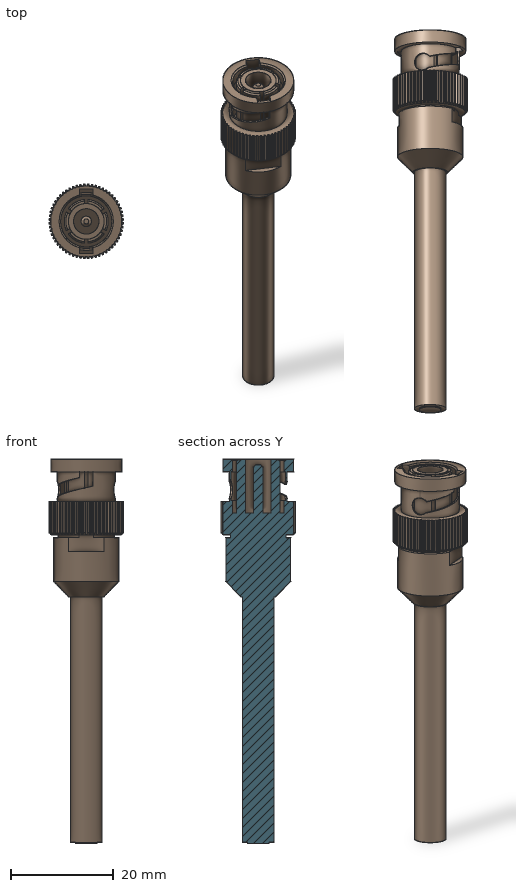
import cadquery as cq
import math

total_height = 74.7
flange_height = 2.5
knurl_top = 66.5
knurl_bottom = 60.0
body_top = 59.45
body_bottom = 50.9
cone_bottom = 47.9
stub_height = 0.2
flat_bottom = 56.75
undercut_bottom = 66.7
bore_floor = 64.2

stub_diameter = 4.25
cable_diameter = 6.2
cone_end_diameter = 6.7
body_diameter = 12.7
neck_diameter = 11.0
sleeve_diameter = 11.3
flange_diameter = 13.8
bore_diameter = 9.9
undercut_diameter = 10.5
mouth_chamfer = 0.3

ridge_count = 60
ridge_tip_diameter = 14.5
ridge_root_diameter = 13.8
grip_chamfer = 0.45
ridge_flat_share = 0.3

flat_spacing = 10.6

entry_width = 2.6
entry_radius = 6.3
ring_clearance = 0.2
track_height = 2.25
track_start = 68.3
track_rise = 1.95
latch_diameter = 3.35
latch_height = 68.7

ring_top = 74.6
insulator_top = 74.7
ring_diameter = 8.5
ring_tip_chamfer = 0.3
ring_inner_diameter = 6.95
ring_slit_count = 6
ring_slit_width = 0.75
socket_diameter = 4.9
pin_diameter = 2.0
pin_top = 73.6
pin_tip_diameter = 1.0
pin_tip_length = 0.5


def disc(diameter, bottom, top):
    """Upright cylinder on the Z axis."""
    return cq.Workplane("XY").workplane(offset=bottom).circle(diameter / 2).extrude(top - bottom)


def revolve_profile(points):
    """Solid of revolution about Z from (radius, height) points."""
    return cq.Workplane("XZ").polyline(points).close().revolve(360, (0, 0), (0, 1))


def make_cable_and_body():
    """Cable, conical strain relief, body and neck, with the two wrench flats."""
    profile = [
        (0, 0),
        (stub_diameter / 2, 0),
        (stub_diameter / 2, stub_height),
        (cable_diameter / 2, stub_height),
        (cable_diameter / 2, cone_bottom),
        (cone_end_diameter / 2, cone_bottom),
        (body_diameter / 2, body_bottom),
        (body_diameter / 2, body_top),
        (neck_diameter / 2, body_top),
        (neck_diameter / 2, knurl_bottom),
        (0, knurl_bottom),
    ]
    body = revolve_profile(profile)
    flat_height = knurl_bottom - flat_bottom
    flat_depth = (body_diameter - flat_spacing) / 2
    for side in (-1, 1):
        waste = (
            cq.Workplane("XY")
            .workplane(offset=flat_bottom)
            .center(0, side * (flat_spacing + flat_depth) / 2)
            .rect(body_diameter, flat_depth)
            .extrude(flat_height)
        )
        body = body.cut(waste)
    return body


def make_grip():
    """Grip with flat-topped ridges all round and a chamfer on its lower edge."""
    pitch = 2 * math.pi / ridge_count
    half_flat = ridge_flat_share * pitch / 2
    points = []
    for index in range(ridge_count):
        root_angle = index * pitch
        tip_angle = root_angle + pitch / 2
        for diameter, center_angle in ((ridge_root_diameter, root_angle), (ridge_tip_diameter, tip_angle)):
            for angle in (center_angle - half_flat, center_angle + half_flat):
                points.append((diameter / 2 * math.cos(angle), diameter / 2 * math.sin(angle)))
    height = knurl_top - knurl_bottom
    grip = cq.Workplane("XY").workplane(offset=knurl_bottom).polyline(points).close().extrude(height)
    envelope = disc(ridge_tip_diameter, knurl_bottom, knurl_top).faces("<Z").chamfer(grip_chamfer)
    return grip.intersect(envelope)


def make_sleeve():
    """Bayonet sleeve and its end flange, before the bore is cut."""
    sleeve = disc(sleeve_diameter, knurl_top, total_height)
    return sleeve.union(disc(flange_diameter, total_height - flange_height, total_height))


def make_bore():
    """Cutter for the bore: chamfered mouth, and an undercut behind the bayonet tracks."""
    flange_bottom = total_height - flange_height
    chamfer_bottom = total_height - mouth_chamfer
    profile = [
        (0, bore_floor),
        (bore_diameter / 2, bore_floor),
        (bore_diameter / 2, undercut_bottom),
        (undercut_diameter / 2, undercut_bottom),
        (undercut_diameter / 2, flange_bottom),
        (bore_diameter / 2, flange_bottom),
        (bore_diameter / 2, chamfer_bottom),
        (bore_diameter / 2 + mouth_chamfer, total_height),
        (0, total_height),
    ]
    return revolve_profile(profile)


def make_bayonet_track():
    """Cutters for one track: entry slot at +Y, sloping track and round latch hole at +X."""
    inner_radius = ring_diameter / 2 + ring_clearance
    cut_depth = entry_radius - inner_radius
    middle_radius = (inner_radius + entry_radius) / 2

    overrun = math.degrees(math.asin(entry_width / sleeve_diameter))
    slope = track_rise / 90
    path = cq.Wire.makeHelix(slope * 360, slope * (90 + overrun), bore_diameter / 2)
    path = path.translate(cq.Vector(0, 0, track_start))
    track = (
        cq.Workplane("XZ")
        .center(middle_radius, track_start)
        .rect(cut_depth, track_height)
        .sweep(cq.Workplane(path), isFrenet=True)
    )

    entry_bottom = track_start + track_rise
    entry = (
        cq.Workplane("XY")
        .workplane(offset=entry_bottom)
        .center(0, middle_radius)
        .rect(entry_width, cut_depth)
        .extrude(total_height - entry_bottom)
    )
    latch = (
        cq.Workplane("YZ")
        .workplane(offset=inner_radius)
        .center(0, latch_height)
        .circle(latch_diameter / 2)
        .extrude(cut_depth)
    )
    return [track, entry, latch]


def make_contact_ring():
    """Slotted contact ring around the insulator, which has an open socket."""
    ring = disc(ring_diameter, bore_floor, ring_top).faces(">Z").chamfer(ring_tip_chamfer)
    slit_height = ring_top - bore_floor
    for index in range(ring_slit_count):
        slit = (
            cq.Workplane("XY")
            .workplane(offset=bore_floor)
            .center(ring_diameter / 2, 0)
            .rect(ring_diameter, ring_slit_width)
            .extrude(slit_height)
            .rotate((0, 0, 0), (0, 0, 1), 90 + index * 360 / ring_slit_count)
        )
        ring = ring.cut(slit)
    ring = ring.union(disc(ring_inner_diameter, bore_floor, insulator_top))
    return ring.cut(disc(socket_diameter, bore_floor, insulator_top))


def make_pin():
    """Centre pin with a tapered tip."""
    pin = disc(pin_diameter, bore_floor, pin_top)
    return pin.faces(">Z").chamfer(pin_tip_length, (pin_diameter - pin_tip_diameter) / 2)


shell = make_cable_and_body().union(make_grip()).union(make_sleeve()).cut(make_bore())
for cutter in make_bayonet_track():
    shell = shell.cut(cutter)
    shell = shell.cut(cutter.rotate((0, 0, 0), (0, 0, 1), 180))
result = shell.union(make_contact_ring()).union(make_pin())